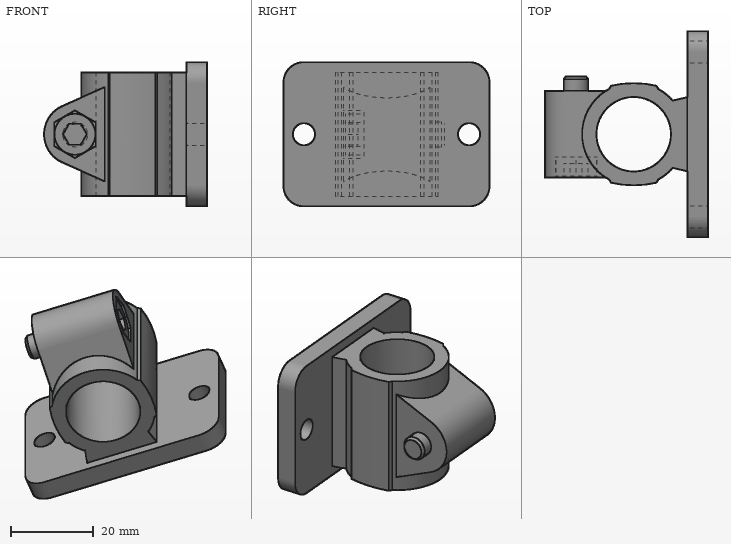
import cadquery as cq
import math


bore_diameter = 18.0
tube_radius = 12.5
tube_height = 30.0

pad_peak_y = 12.4
pad_edge_x = 5.5
pad_edge_y = 11.77
pad_foot_x = 5.95

plate_front_x = 13.0
plate_thickness = 5.0
plate_width = 50.0
plate_height = 35.0
plate_corner_radius = 5.0
plate_hole_diameter = 5.3
plate_hole_spacing = 40.0
neck_root_x = 9.45
neck_end_half_width = 9.0

boss_x = -14.0
boss_nose_radius = 7.5
boss_flank_angle = math.radians(24)
boss_width = 21.0

pocket_across_flats = 10.0
pocket_depth = 5.0
head_diameter = 9.9
head_recess = 0.5
socket_across_flats = 5.0
socket_depth = 3.0
screw_diameter = 6.0
screw_end_y = 14.0
screw_chamfer_length = 0.7
screw_chamfer_inset = 0.5

boss_half_width = boss_width / 2


def on_tube(x):
    """Distance from the XZ plane to the tube surface at the given x."""
    return math.sqrt(tube_radius**2 - x**2)


def hexagon_diameter(across_flats):
    """Corner-to-corner size of a regular hexagon."""
    return across_flats / math.cos(math.pi / 6)


def along_y(start_y):
    """Sketch plane across the screw axis at start_y, extruding toward +Y; local Y is -Z."""
    return cq.Workplane(cq.Plane(origin=(boss_x, start_y, 0), xDir=(1, 0, 0), normal=(0, 1, 0)))


def make_tube():
    """Tube, grip pads and neck extruded from one cross-section; the bore is cut later."""
    foot_y = on_tube(pad_foot_x)
    root_y = on_tube(neck_root_x)
    shoulder_x = (pad_foot_x + neck_root_x) / 2
    shoulder_y = on_tube(shoulder_x)
    return (
        cq.Workplane("XY")
        .moveTo(plate_front_x, -neck_end_half_width)
        .lineTo(plate_front_x, neck_end_half_width)
        .lineTo(neck_root_x, root_y)
        .threePointArc((shoulder_x, shoulder_y), (pad_foot_x, foot_y))
        .lineTo(pad_edge_x, pad_edge_y)
        .threePointArc((0, pad_peak_y), (-pad_edge_x, pad_edge_y))
        .lineTo(-pad_foot_x, foot_y)
        .threePointArc((-tube_radius, 0), (-pad_foot_x, -foot_y))
        .lineTo(-pad_edge_x, -pad_edge_y)
        .threePointArc((0, -pad_peak_y), (pad_edge_x, -pad_edge_y))
        .lineTo(pad_foot_x, -foot_y)
        .threePointArc((shoulder_x, -shoulder_y), (neck_root_x, -root_y))
        .close()
        .extrude(tube_height / 2, both=True)
    )


def make_plate():
    return (
        cq.Workplane("YZ", origin=(plate_front_x, 0, 0))
        .rect(plate_width, plate_height)
        .extrude(plate_thickness)
        .edges("|X")
        .fillet(plate_corner_radius)
        .faces("<X")
        .workplane(origin=(plate_front_x, 0, 0))
        .rarray(plate_hole_spacing, 1, 2, 1)
        .hole(plate_hole_diameter)
    )


def make_boss():
    tangent_x = -boss_nose_radius * math.sin(boss_flank_angle)
    tangent_z = boss_nose_radius * math.cos(boss_flank_angle)
    root_x = -math.sqrt(tube_radius**2 - boss_half_width**2) - boss_x
    root_z = tangent_z + math.tan(boss_flank_angle) * (root_x - tangent_x)
    return (
        along_y(-boss_half_width)
        .moveTo(root_x, -root_z)
        .lineTo(tangent_x, -tangent_z)
        .threePointArc((-boss_nose_radius, 0), (tangent_x, tangent_z))
        .lineTo(root_x, root_z)
        .close()
        .extrude(boss_width)
    )


def make_screw_pocket():
    return (
        along_y(-boss_half_width)
        .transformed(rotate=(0, 0, 90))
        .polygon(6, hexagon_diameter(pocket_across_flats))
        .extrude(pocket_depth)
    )


def make_screw():
    head_y = -boss_half_width + head_recess
    seat_y = -boss_half_width + pocket_depth
    head = along_y(head_y).circle(head_diameter / 2).extrude(seat_y - head_y)
    socket = along_y(head_y).polygon(6, hexagon_diameter(socket_across_flats)).extrude(socket_depth)
    shank = (
        along_y(seat_y)
        .circle(screw_diameter / 2)
        .extrude(screw_end_y - seat_y)
        .faces(">Y")
        .chamfer(screw_chamfer_length, screw_chamfer_inset)
    )
    return head.union(shank).cut(socket)


bore = cq.Workplane("XY").circle(bore_diameter / 2).extrude(tube_height / 2, both=True)
clamp = make_tube().union(make_boss()).union(make_plate())
result = clamp.cut(make_screw_pocket()).union(make_screw()).cut(bore)